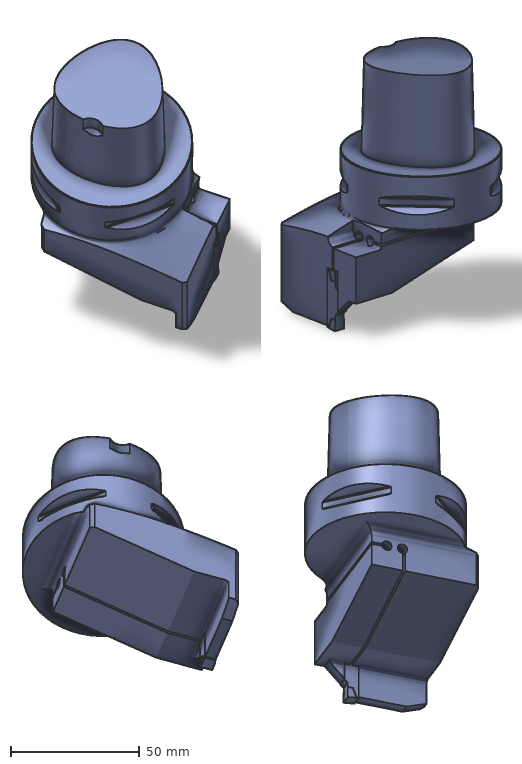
import cadquery as cq
import math


shank_height = 38.0
shank_base_radius = 22.0
shank_taper = 1 / 40
lobe_height = 1.4
shank_top_radius = shank_base_radius - shank_height * shank_taper

keyway_radius = 5.4
keyway_axis_y = -23.0
keyway_depth = 6.3
keyway_tip_slope = 0.8

flange_radius = 31.5
flange_height = 22.0
flange_chamfer = 0.3
flange_bottom = -flange_height

groove_z = -12.0
groove_floor_distance = 27.9
groove_floor_half = 1.3
groove_root_half = 1.9
groove_root_depth = 0.3
groove_mouth_half = 3.9
groove_angles = [45 + 90 * i for i in range(4)]

arm_left = -16.6
arm_right = 44.8
arm_back = 12.3
arm_front = -33
arm_chamfer_x = 1.5
arm_chamfer_y = 1.3
arm_left_bottom = -38.8
arm_bottom = -50.3
arm_bottom_angle = 15
neck_fillet = 4.0
shoulder_angle = 15
shoulder_z = -23.2
shoulder_fillet = 1.2

blade_left = 40.5
blade_bottom = -63.9
blade_fillet = 1.9
finger_end = -56.9
blade_bevel_start = -24.6
blade_bevel_height = 3.1

step_left = 31.7
step_front = -4.2
step_floor = -30.9
step_left_fillet = 0.9

relief_radius = 2.0
relief_z = -28.9
back_relief_y = 5.9
front_relief_y = -0.6
slit_width = 0.9
back_slit_z = -29.0
clamp_slit_y = -1.2
clamp_slit_bottom = -51.5

pocket_left = 39.7
insert_top_y = 1.4
insert_bottom_y = -4.5
rake_y = 0.1
insert_tip = -65.0
insert_middle = -52.4
insert_relief = 0.5
rake_end = -58.5
insert_left = 40.4
insert_right = arm_right
head_overhang = 0.2
head_back_overhang = 0.1
head_length = 4.6
head_depth = 2.2
head_tip_depth = 3.7

far = 103


def xz_prism(outline):
    """Extrude an XZ outline right through the part along Y."""
    return outline.close().extrude(far, both=True)


def yz_prism(outline):
    """Extrude a YZ outline right through the part along X."""
    return outline.close().extrude(far, both=True)


def slab(x_range, y_range, z_range):
    """Box between the given limits."""
    size = [high - low for low, high in (x_range, y_range, z_range)]
    corner = cq.Vector(x_range[0], y_range[0], z_range[0])
    return cq.Workplane(obj=cq.Solid.makeBox(*size, corner))


def quarter_middle(center, direction, radius):
    """Middle point of a quarter arc, on the diagonal (+-1, +-1) from its center."""
    reach = radius / math.sqrt(2)
    return (center[0] + direction[0] * reach, center[1] + direction[1] * reach)


def make_flange():
    disc = cq.Workplane().circle(flange_radius).extrude(flange_bottom)
    disc = disc.faces(">Z").chamfer(flange_chamfer)
    root_distance = groove_floor_distance + groove_root_depth
    flank_slope = (groove_mouth_half - groove_root_half) / (flange_radius - root_distance)
    outer_half = groove_mouth_half + flank_slope * (far - flange_radius)
    groove = xz_prism(
        cq.Workplane("XZ", origin=(0, 0, groove_z))
        .moveTo(groove_floor_distance, -groove_floor_half)
        .lineTo(root_distance, -groove_root_half)
        .lineTo(far, -outer_half)
        .lineTo(far, outer_half)
        .lineTo(root_distance, groove_root_half)
        .lineTo(groove_floor_distance, groove_floor_half)
    )
    for angle in groove_angles:
        disc = disc.cut(groove.rotate((0, 0, 0), (0, 0, 1), angle))
    return disc


def lobed_section(radius, height):
    """Closed three-lobed wire with one lobe pointing to +Y, made of six equal spans."""

    def point(angle):
        return cq.Vector(
            radius * math.sin(angle) - lobe_height * math.sin(2 * angle),
            radius * math.cos(angle) + lobe_height * math.cos(2 * angle),
            height,
        )
    spans = 6
    steps = 8
    span_angle = 2 * math.pi / spans
    edges = []
    for i in range(spans):
        start = (i - 0.5) * span_angle
        points = [point(start + span_angle * j / steps) for j in range(steps + 1)]
        edges.append(cq.Edge.makeSpline(points))
    return cq.Wire.assembleEdges(edges)


def make_shank():
    base = lobed_section(shank_base_radius, 0)
    top = lobed_section(shank_top_radius, shank_height)
    shank = cq.Workplane(obj=cq.Solid.makeLoft([base, top], True))
    keyway_bottom = shank_height - keyway_depth
    keyway = (
        cq.Workplane("XZ", origin=(0, keyway_axis_y, 0))
        .moveTo(0, keyway_bottom - keyway_radius * keyway_tip_slope)
        .lineTo(keyway_radius, keyway_bottom)
        .lineTo(keyway_radius, shank_height)
        .lineTo(0, shank_height)
        .close()
        .revolve()
    )
    return shank.cut(keyway)


def arm_envelope():
    """Solid of revolution under the flange: filleted shoulder and conical top."""
    slope = math.radians(shoulder_angle)
    turn = math.radians(90 - shoulder_angle)
    fillet_x = flange_radius + shoulder_fillet
    fillet_z = shoulder_z + shoulder_fillet * math.tan(turn / 2)

    def on_fillet(angle):
        return (fillet_x - shoulder_fillet * math.cos(angle), fillet_z - shoulder_fillet * math.sin(angle))

    cone_start = on_fillet(turn)
    return (
        cq.Workplane("XZ")
        .moveTo(0, flange_bottom)
        .lineTo(flange_radius, flange_bottom)
        .lineTo(flange_radius, fillet_z)
        .threePointArc(on_fillet(turn / 2), cone_start)
        .lineTo(far, shoulder_z - (far - flange_radius) * math.tan(slope))
        .lineTo(far, -far)
        .lineTo(0, -far)
        .close()
        .revolve()
    )


def arm_front_prism():
    """Outline of arm and blade in XZ, with the neck fillet on its left."""
    neck_bottom = flange_bottom - neck_fillet
    neck_mid = quarter_middle((arm_left - neck_fillet, neck_bottom), (1, 1), neck_fillet)
    ramp_end = arm_left + (arm_left_bottom - arm_bottom) / math.tan(math.radians(arm_bottom_angle))
    fillet_center = (blade_left - blade_fillet, arm_bottom - blade_fillet)
    return xz_prism(
        cq.Workplane("XZ")
        .moveTo(arm_left - neck_fillet, flange_bottom)
        .threePointArc(neck_mid, (arm_left, neck_bottom))
        .lineTo(arm_left, arm_left_bottom)
        .lineTo(ramp_end, arm_bottom)
        .lineTo(fillet_center[0], arm_bottom)
        .threePointArc(quarter_middle(fillet_center, (1, 1), blade_fillet), (blade_left, fillet_center[1]))
        .lineTo(blade_left, blade_bottom)
        .lineTo(arm_right, blade_bottom)
        .lineTo(arm_right, flange_bottom)
    )


def arm_side_prism():
    """Outline of arm and blade in YZ, with the neck fillet at the back."""
    neck_bottom = flange_bottom - neck_fillet
    neck_mid = quarter_middle((arm_back + neck_fillet, neck_bottom), (-1, 1), neck_fillet)
    finger_start_y = insert_top_y + arm_bottom - finger_end
    return yz_prism(
        cq.Workplane("YZ")
        .moveTo(arm_front, flange_bottom)
        .lineTo(arm_back + neck_fillet, flange_bottom)
        .threePointArc(neck_mid, (arm_back, neck_bottom))
        .lineTo(arm_back, arm_bottom)
        .lineTo(finger_start_y, arm_bottom)
        .lineTo(insert_top_y, finger_end)
        .lineTo(insert_top_y, blade_bottom)
        .lineTo(blade_bevel_start, blade_bottom)
        .lineTo(arm_front, blade_bottom + blade_bevel_height)
    )


def arm_plan_prism():
    """Outline in XY that bevels both front vertical corners."""
    bevel_reach = arm_left + arm_chamfer_x - far
    bevel_rise = far * arm_chamfer_y / arm_chamfer_x
    return (
        cq.Workplane()
        .moveTo(arm_right, far)
        .lineTo(arm_right, arm_front + arm_chamfer_y)
        .lineTo(arm_right - arm_chamfer_x, arm_front)
        .lineTo(arm_left + arm_chamfer_x, arm_front)
        .lineTo(bevel_reach, arm_front + bevel_rise)
        .lineTo(bevel_reach, far)
        .close()
        .extrude(-far)
    )


def step_cut():
    """Space above the lowered corner, with a fillet along each of its two walls."""
    front_center = (step_front + neck_fillet, step_floor + neck_fillet)
    across = yz_prism(
        cq.Workplane("YZ")
        .moveTo(step_front, 0)
        .lineTo(step_front, front_center[1])
        .threePointArc(quarter_middle(front_center, (-1, -1), neck_fillet), (front_center[0], step_floor))
        .lineTo(far, step_floor)
        .lineTo(far, 0)
    )
    left_center = (step_left + step_left_fillet, step_floor + step_left_fillet)
    along = xz_prism(
        cq.Workplane("XZ")
        .moveTo(step_left, 0)
        .lineTo(step_left, left_center[1])
        .threePointArc(quarter_middle(left_center, (-1, -1), step_left_fillet), (left_center[0], step_floor))
        .lineTo(far, step_floor)
        .lineTo(far, 0)
    )
    return across.intersect(along)


def relief_cuts():
    """Two relief holes along X, each with the slit that opens it."""
    holes = (
        cq.Workplane("YZ")
        .pushPoints([(back_relief_y, relief_z), (front_relief_y, relief_z)])
        .circle(relief_radius)
        .extrude(far, both=True)
    )
    half = slit_width / 2
    back_slit = slab((-far, far), (back_relief_y, far), (back_slit_z - half, back_slit_z + half))
    clamp_slit = slab(
        (-far, far), (clamp_slit_y - half, clamp_slit_y + half), (clamp_slit_bottom, relief_z)
    )
    return [holes, back_slit, clamp_slit]


def make_arm():
    arm = arm_front_prism().intersect(arm_side_prism())
    arm = arm.intersect(arm_plan_prism()).intersect(arm_envelope())
    pocket_top = 2 * insert_middle - insert_tip
    pocket = slab((pocket_left, far), (insert_bottom_y, insert_top_y), (-far, pocket_top))
    for cutter in [step_cut(), *relief_cuts(), pocket]:
        arm = arm.cut(cutter)
    return arm


def make_holder():
    return make_flange().union(make_shank()).union(make_arm())


def make_insert():
    """Straight insert with a wider cutting head at each end."""
    heel = insert_tip + insert_relief
    relief_slope = insert_relief / (rake_y - insert_bottom_y)
    ramp_end = rake_end + insert_top_y - rake_y
    half_body = (
        cq.Workplane("YZ", origin=(insert_left, 0, 0))
        .moveTo(insert_bottom_y, insert_middle)
        .lineTo(insert_bottom_y, heel)
        .lineTo(rake_y, insert_tip)
        .lineTo(rake_y, rake_end)
        .lineTo(insert_top_y, ramp_end)
        .lineTo(insert_top_y, insert_middle)
        .close()
        .extrude(insert_right - insert_left)
    )
    head_back = insert_tip + head_length
    head_side = yz_prism(
        cq.Workplane("YZ")
        .moveTo(rake_y, insert_tip)
        .lineTo(rake_y, head_back)
        .lineTo(rake_y - head_depth, head_back)
        .lineTo(rake_y - head_tip_depth, insert_tip + head_tip_depth * relief_slope)
    )
    head_width = xz_prism(
        cq.Workplane("XZ")
        .moveTo(insert_left - head_overhang, insert_tip)
        .lineTo(insert_right + head_overhang, insert_tip)
        .lineTo(insert_right + head_back_overhang, head_back)
        .lineTo(insert_left - head_back_overhang, head_back)
    )
    head = head_side.intersect(head_width)
    half = half_body.union(head)
    return half.union(half.mirror("XY", (0, 0, insert_middle)))


holder = make_holder()
insert = make_insert()
result = cq.Compound.makeCompound([holder.solids().val(), insert.solids().val()])